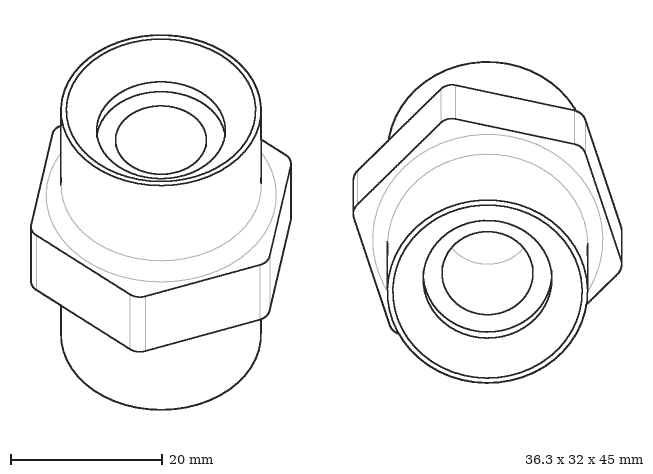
import cadquery as cq
import math

length = 45.0
pipe_diameter = 26.45
bore_diameter = 12.0

across_flats = 32.0
hex_height = 11.0
corner_radius = 2.02
hex_half = hex_height / 2

root_radius = 2.0

mouth_diameter = 25.0
socket_diameter = 17.0
socket_depth = 2.0
flare_depth = (mouth_diameter - socket_diameter) / 2


def hex_collar():
    """Hexagon with two flats facing +Y and -Y, centred on the origin."""
    across_corners = across_flats / math.cos(math.radians(30))
    collar = cq.Workplane("XY").polygon(6, across_corners).extrude(hex_half, both=True)
    return collar.edges("|Z").fillet(corner_radius)


def end_pipe():
    """Upper pipe, from the middle of the part, with a filleted root."""
    end = length / 2
    pipe_radius = pipe_diameter / 2
    fillet_top = hex_half + root_radius
    arc_offset = root_radius * (1 - math.sqrt(0.5))
    profile = (
        cq.Workplane("XZ")
        .lineTo(pipe_radius + root_radius, 0)
        .lineTo(pipe_radius + root_radius, hex_half)
        .threePointArc((pipe_radius + arc_offset, hex_half + arc_offset), (pipe_radius, fillet_top))
        .lineTo(pipe_radius, end)
        .lineTo(0, end)
        .close()
    )
    return profile.revolve(360, (0, 0, 0), (0, 1, 0))


def end_socket():
    """Material removed from the upper end: conical flare, then a flat-bottomed socket."""
    end = length / 2
    flare_bottom = end - flare_depth
    socket_bottom = flare_bottom - socket_depth
    profile = (
        cq.Workplane("XZ")
        .moveTo(0, end)
        .lineTo(mouth_diameter / 2, end)
        .lineTo(socket_diameter / 2, flare_bottom)
        .lineTo(socket_diameter / 2, socket_bottom)
        .lineTo(0, socket_bottom)
        .close()
    )
    return profile.revolve(360, (0, 0, 0), (0, 1, 0))


def both_ends(shape):
    """The shape together with its mirror image below the XY plane."""
    return shape.union(shape.mirror("XY"))


bore = cq.Workplane("XY").circle(bore_diameter / 2).extrude(length / 2, both=True)

result = hex_collar().union(both_ends(end_pipe())).cut(both_ends(end_socket())).cut(bore)